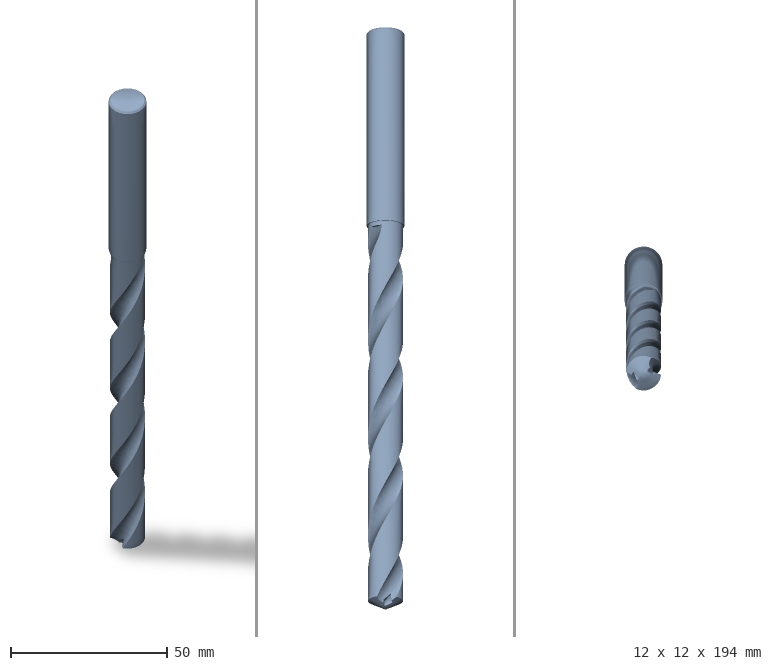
import cadquery as cq
import math

total_length = 194.0
shank_diameter = 12.0
drill_diameter = 11.3
shank_bottom_z = 129.0
shank_chamfer = 0.5
point_height = 3.0

joint_z = 104.4

flute_count = 2
helix_pitch = 66.0
flute_radius = 3.7
core_radius = 3.0
flute_offset = core_radius + flute_radius
flute_top_z = 120.7
flute_top_angle = 214.0
runout_height = 7.0

gash_depth_from_axis = 1.5
gash_inner_x = 0.2
gash_inner_z = 2.3
gash_peak_x = 2.3
gash_peak_z = 4.7
gash_outer_x = 3.1

drill_radius = drill_diameter / 2
twist_per_unit = 360.0 / helix_pitch


def helical_groove(bottom_z, top_z):
    """Helical cutter for one flute between two heights."""
    height = top_z - bottom_z
    start_angle = flute_top_angle - twist_per_unit * (flute_top_z - bottom_z)
    return (
        cq.Workplane("XY")
        .center(flute_offset, 0)
        .circle(flute_radius)
        .center(-flute_offset, 0)
        .twistExtrude(height, twist_per_unit * height)
        .rotate((0, 0, 0), (0, 0, 1), start_angle)
        .translate((0, 0, bottom_z))
    )


def straight_runout():
    """Straight cutter that slides sideways until the flute bottom reaches the neck surface."""
    exit_slide = math.sqrt(drill_radius**2 - core_radius**2)
    exit_path = cq.Vector(0, exit_slide, runout_height)
    end_circle = cq.Wire.makeCircle(
        flute_radius, cq.Vector(flute_offset, 0, flute_top_z), cq.Vector(0, 0, 1)
    )
    cutter = cq.Solid.extrudeLinear(end_circle, [], exit_path)
    return cq.Workplane(cutter).rotate((0, 0, 0), (0, 0, 1), flute_top_angle)


def web_gash():
    """Cutter for one web-thinning notch, on the -Y side of the point."""
    profile = [
        (gash_inner_x, 0),
        (gash_inner_x, gash_inner_z),
        (gash_peak_x, gash_peak_z),
        (gash_outer_x, 0),
    ]
    return (
        cq.Workplane("XZ")
        .workplane(offset=gash_depth_from_axis)
        .polyline(profile)
        .close()
        .extrude(drill_radius)
    )


def cut_per_flute(body, cutter):
    """Cut one copy of a cutter into a body for each flute."""
    for index in range(flute_count):
        angle = index * 360.0 / flute_count
        body = body.cut(cutter.rotate((0, 0, 0), (0, 0, 1), angle))
    return body


def make_cutting_body():
    """Fluted cutting length with its conical point."""
    blank = (
        cq.Workplane("XZ")
        .polyline([(0, 0), (drill_radius, point_height), (drill_radius, joint_z), (0, joint_z)])
        .close()
        .revolve(360, (0, 0), (0, 1))
    )
    fluted = cut_per_flute(blank, helical_groove(0, joint_z))
    return cut_per_flute(fluted, web_gash())


def make_shank_body():
    """Fluted neck carrying the plain chamfered shank."""
    neck = cq.Workplane("XY").workplane(offset=joint_z).circle(drill_radius).extrude(shank_bottom_z - joint_z)
    neck = cut_per_flute(neck, helical_groove(joint_z, flute_top_z))
    neck = cut_per_flute(neck, straight_runout())
    shank = (
        cq.Workplane("XY")
        .workplane(offset=shank_bottom_z)
        .circle(shank_diameter / 2)
        .extrude(total_length - shank_bottom_z)
        .faces(">Z")
        .chamfer(shank_chamfer)
    )
    return neck.union(shank)


cutting_body = make_cutting_body()
shank_body = make_shank_body()

result = cq.Compound.makeCompound([cutting_body.val(), shank_body.val()])